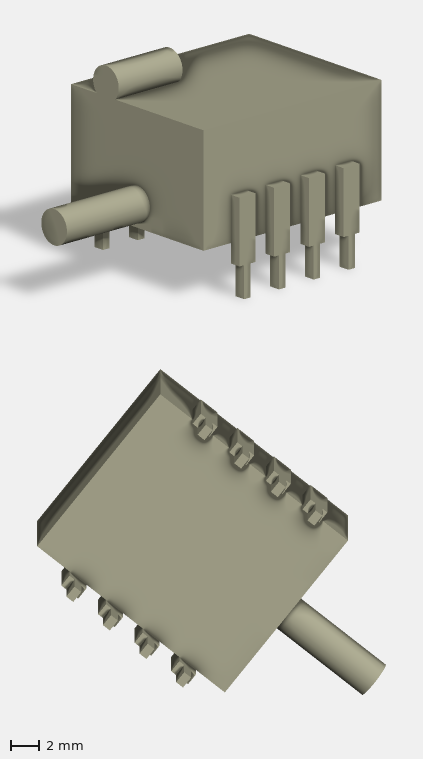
import cadquery as cq

body_width = 13.95
body_length = 16.91
body_height = 8.95

port_diameter = 2.7
total_length = 24.8
front_port_length = total_length - body_length
front_port_height = 1.79
top_port_length = 6.05
top_port_x = -3.3
top_port_rise = 2.28

overall_width = 15.8
pin_thickness = (overall_width - body_width) / 2
pin_count = 4
pin_pitch = 3.3
first_pin_y = 3.35
pin_wide = 1.51
pin_narrow = 0.62
pin_top = 3.6
pin_step = -1.51
pin_bottom = -4.05


def port(x, z, y_start, length):
    """Solid cylinder running from y_start towards +Y."""
    section = cq.Workplane("XZ", origin=(x, y_start, z)).circle(port_diameter / 2)
    return section.extrude(-length)


def pin(x, y):
    """Pin with a wide upper blade and a narrow lower tail, centred on x and y."""
    blade = cq.Workplane("XY", origin=(x, y, pin_step)).rect(pin_thickness, pin_wide)
    tail = cq.Workplane("XY", origin=(x, y, pin_bottom)).rect(pin_thickness, pin_narrow)
    return blade.extrude(pin_top - pin_step).union(tail.extrude(pin_step - pin_bottom))


result = cq.Workplane("XY").box(body_width, body_length, body_height, centered=(True, False, False))

result = result.union(port(0, front_port_height, -front_port_length, front_port_length))

top_port_z = body_height + top_port_rise - port_diameter / 2
result = result.union(port(top_port_x, top_port_z, 0, top_port_length))

pin_x = (body_width + pin_thickness) / 2
for side in (-1, 1):
    for index in range(pin_count):
        result = result.union(pin(side * pin_x, first_pin_y + index * pin_pitch))